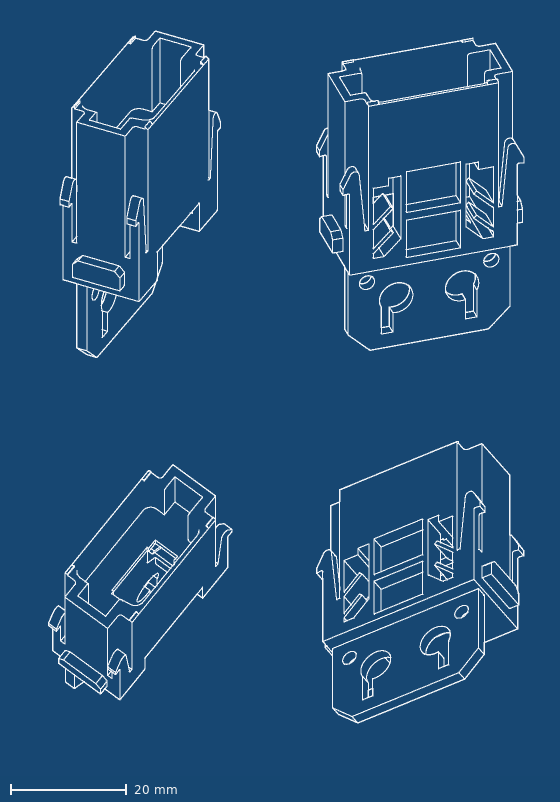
import cadquery as cq
import math

TOTAL_HEIGHT = 52.5
BODY_BOTTOM = 17.9
BODY_TOP = 52.05
BODY_X = 14.65
BODY_Y = 30.45
HALF_X = BODY_X / 2
HALF_Y = BODY_Y / 2

PLATE_X_MIN = -4.95
PLATE_X_MAX = -3.0
PLATE_Y = 29.4
PLATE_CHAMFER = 3.95
PIN_HOLE_DIAMETER = 2.75
PIN_HOLE_Y = 11.3
PIN_HOLE_Z = 14.05
KEYHOLE_DIAMETER = 6.05
KEYHOLE_Y = 6.0
KEYHOLE_Z = 9.85
KEYHOLE_SLOT_Y_MIN = 6.6
KEYHOLE_SLOT_Y_MAX = 8.65
KEYHOLE_SLOT_BOTTOM = 2.95

CAVITY_FLOOR = 38.3
CAVITY_X_MIN = -6.4
CAVITY_X_MAX = 6.45
CAVITY_HALF_Y_LEFT = 10.7
CAVITY_HALF_Y_RIGHT = 9.55
CAVITY_SLOPE_ANGLE = 9.0
CAVITY_CORNER_RADIUS = 1.7
RIM_RADIUS = 0.5
KEYWAY_X = 6.05
KEYWAY_Y = 27.35

WINDOW_X_MIN = -1.8
WINDOW_X_MAX = 4.25
WINDOW_SIDE_Y_MIN = -5.6
WINDOW_SIDE_Y_MAX = 4.25
WINDOW_END_X_MIN = -1.45
WINDOW_END_X_MAX = 3.35
WINDOW_HALF_Y = 6.15

CHAMBER_TOP = 36.45
CHAMBER_X_MAX = 6.0
CHAMBER_HALF_Y = 8.15
BACK_OPENING_TOP = 23.9

CENTRE_POCKET_Y = 9.8
UPPER_POCKET_Z = (28.7, 37.1)
LOWER_POCKET_Z = (19.4, 27.15)
SIDE_POCKET_Y_IN = 5.95
SIDE_POCKET_Y_OUT = 10.9
SIDE_POCKET_BOTTOM = 20.5
SIDE_POCKET_SHOULDER = 34.9
SIDE_POCKET_RAMP = 3.05
RIB_THICKNESS = 0.75
RIB_REACH_Y = 3.35
RIB_ROOT_HEIGHTS = (21.95, 26.95)

NOTCH_X = 4.65
NOTCH_Y = 11.8
NOTCH_BOTTOM = 26.45
NOTCH_FILLET = 0.65
ARM_X = 5.55
ARM_ROOT_Y = 12.45
ARM_TIP_RADIUS = 0.85
ARM_TIP_Y = 14.35
ARM_TIP_Z = 38.15
HOOK_Y = 16.45
HOOK_TOP = 35.75
HOOK_TIP_BOTTOM = 34.55
HOOK_ROOT_BOTTOM = 34.75
HOOK_FILLET = 0.3

PEG_SPAN_Y = 34.2
PEG_BOTTOM = 20.5
PEG_TOP = 24.25
PEG_CHAMFER = 1.05
FRONT_PEG_X = 9.15
REAR_PEG_X = 7.1

NIB_X = 0.6
NIB_Y_MIN = 9.85


def box(x_min, x_max, y_min, y_max, z_min, z_max):
    """Axis-aligned block between the given limits."""
    size = (x_max - x_min, y_max - y_min, z_max - z_min)
    return cq.Workplane("XY").box(*size, centered=False).translate((x_min, y_min, z_min))


def prism_along_x(outline, x_min, x_max):
    """Extrude a closed polygon of (Y, Z) points between two X positions."""
    return cq.Workplane("YZ", origin=(x_min, 0, 0)).polyline(outline).close().extrude(x_max - x_min)


def both_y(shape):
    """The shape together with its mirror image across Y = 0."""
    return shape.union(shape.mirror("XZ"))


def four_corners(shape):
    """The shape repeated at all four corners of the body."""
    pair = both_y(shape)
    return pair.union(pair.mirror("YZ"))


def mounting_plate():
    thickness = PLATE_X_MAX - PLATE_X_MIN
    plate = box(PLATE_X_MIN, PLATE_X_MAX, -PLATE_Y / 2, PLATE_Y / 2, 0, BODY_BOTTOM)
    plate = plate.edges("|X and <Z").chamfer(PLATE_CHAMFER)
    face = cq.Workplane("YZ", origin=(PLATE_X_MIN, 0, 0))
    pin_hole = face.center(PIN_HOLE_Y, PIN_HOLE_Z).circle(PIN_HOLE_DIAMETER / 2).extrude(thickness)
    keyhole = face.center(KEYHOLE_Y, KEYHOLE_Z).circle(KEYHOLE_DIAMETER / 2).extrude(thickness)
    slot = box(PLATE_X_MIN, PLATE_X_MAX, KEYHOLE_SLOT_Y_MIN, KEYHOLE_SLOT_Y_MAX,
               KEYHOLE_SLOT_BOTTOM, KEYHOLE_Z)
    return plate.cut(both_y(pin_hole)).cut(both_y(keyhole.union(slot)))


def housing_shell():
    """Outer block with a round-cornered, rounded-rim cavity crossed by a straight keyway."""
    keyway_edge = KEYWAY_X / 2
    slope_run = CAVITY_X_MAX - keyway_edge
    right_corner_y = CAVITY_HALF_Y_RIGHT - slope_run * math.tan(math.radians(CAVITY_SLOPE_ANGLE))
    outline = [
        (-keyway_edge, CAVITY_HALF_Y_LEFT),
        (CAVITY_X_MIN, CAVITY_HALF_Y_LEFT),
        (CAVITY_X_MIN, -CAVITY_HALF_Y_LEFT),
        (-keyway_edge, -CAVITY_HALF_Y_LEFT),
        (keyway_edge, -CAVITY_HALF_Y_RIGHT),
        (CAVITY_X_MAX, -right_corner_y),
        (CAVITY_X_MAX, right_corner_y),
        (keyway_edge, CAVITY_HALF_Y_RIGHT),
    ]
    depth = BODY_TOP - CAVITY_FLOOR
    floor = cq.Workplane("XY", origin=(0, 0, CAVITY_FLOOR))
    cavity = floor.polyline(outline).close().extrude(depth)
    cavity = cavity.edges("|Z and (<X or >X)").fillet(CAVITY_CORNER_RADIUS)
    keyway = floor.rect(KEYWAY_X, KEYWAY_Y).extrude(depth)

    shell = box(-HALF_X, HALF_X, -HALF_Y, HALF_Y, BODY_BOTTOM, BODY_TOP).cut(cavity)
    inside_outer_edges = cq.selectors.BoxSelector(
        (CAVITY_X_MIN - RIM_RADIUS, -KEYWAY_Y / 2, CAVITY_FLOOR),
        (CAVITY_X_MAX + RIM_RADIUS, KEYWAY_Y / 2, TOTAL_HEIGHT),
    )
    rim = shell.faces(">Z").edges(inside_outer_edges)
    return rim.fillet(RIM_RADIUS).cut(keyway)


def floor_window():
    """Keyed opening from the cavity down into the lower chamber."""
    outline = [
        (WINDOW_X_MIN, WINDOW_SIDE_Y_MIN),
        (WINDOW_END_X_MIN, WINDOW_SIDE_Y_MIN),
        (WINDOW_END_X_MIN, -WINDOW_HALF_Y),
        (WINDOW_END_X_MAX, -WINDOW_HALF_Y),
        (WINDOW_END_X_MAX, WINDOW_SIDE_Y_MIN),
        (WINDOW_X_MAX, WINDOW_SIDE_Y_MIN),
        (WINDOW_X_MAX, WINDOW_SIDE_Y_MAX),
        (WINDOW_END_X_MAX, WINDOW_SIDE_Y_MAX + WINDOW_X_MAX - WINDOW_END_X_MAX),
        (WINDOW_END_X_MAX, WINDOW_HALF_Y),
        (WINDOW_END_X_MIN, WINDOW_HALF_Y),
        (WINDOW_END_X_MIN, WINDOW_SIDE_Y_MAX),
        (WINDOW_X_MIN, WINDOW_SIDE_Y_MAX),
    ]
    height = CAVITY_FLOOR - BODY_BOTTOM
    return cq.Workplane("XY", origin=(0, 0, BODY_BOTTOM)).polyline(outline).close().extrude(height)


def lower_chamber():
    chamber = box(PLATE_X_MAX, CHAMBER_X_MAX, -CHAMBER_HALF_Y, CHAMBER_HALF_Y, BODY_BOTTOM, CHAMBER_TOP)
    back_opening = box(PLATE_X_MAX, HALF_X, -CHAMBER_HALF_Y, CHAMBER_HALF_Y, BODY_BOTTOM, BACK_OPENING_TOP)
    return chamber.union(back_opening)


def centre_pocket(z_limits):
    return box(-HALF_X, PLATE_X_MIN, -CENTRE_POCKET_Y / 2, CENTRE_POCKET_Y / 2, *z_limits)


def slanted_rib(root_height):
    """45 degree rib climbing from the outer wall of a side pocket towards the middle."""
    edge = RIB_THICKNESS / math.sqrt(2)
    tip_y = SIDE_POCKET_Y_OUT - RIB_REACH_Y
    outline = [
        (SIDE_POCKET_Y_OUT, root_height - edge),
        (tip_y - edge / 2, root_height + RIB_REACH_Y - edge / 2),
        (tip_y + edge / 2, root_height + RIB_REACH_Y + edge / 2),
        (SIDE_POCKET_Y_OUT, root_height + edge),
    ]
    return prism_along_x(outline, -HALF_X, PLATE_X_MAX)


def side_pocket():
    """Stepped pocket beside the centre pockets, less its two slanted ribs."""
    outline = [
        (SIDE_POCKET_Y_IN, CHAMBER_TOP),
        (CHAMBER_HALF_Y, CHAMBER_TOP),
        (CHAMBER_HALF_Y, SIDE_POCKET_SHOULDER),
        (SIDE_POCKET_Y_OUT, SIDE_POCKET_SHOULDER),
        (SIDE_POCKET_Y_OUT, SIDE_POCKET_BOTTOM),
        (SIDE_POCKET_Y_IN + SIDE_POCKET_RAMP, SIDE_POCKET_BOTTOM),
        (SIDE_POCKET_Y_IN, SIDE_POCKET_BOTTOM + SIDE_POCKET_RAMP),
    ]
    pocket = prism_along_x(outline, -HALF_X, CHAMBER_X_MAX)
    for root_height in RIB_ROOT_HEIGHTS:
        pocket = pocket.cut(slanted_rib(root_height))
    return pocket


def corner_notch():
    notch = box(NOTCH_X, HALF_X, NOTCH_Y, HALF_Y, NOTCH_BOTTOM, BODY_TOP)
    return notch.edges("|Z and <X and <Y").fillet(NOTCH_FILLET)


def latch_arm():
    """Tapered arm with a rounded tip and an outward hook."""
    hook_angle = math.atan2(ARM_TIP_Z - HOOK_TOP, HOOK_Y - ARM_TIP_Y)
    tip_distance = math.hypot(ARM_TIP_Z - HOOK_TOP, HOOK_Y - ARM_TIP_Y)
    outer_angle = math.acos(ARM_TIP_RADIUS / tip_distance) - hook_angle
    outer_tangent = (ARM_TIP_Y + ARM_TIP_RADIUS * math.cos(outer_angle),
                     ARM_TIP_Z + ARM_TIP_RADIUS * math.sin(outer_angle))
    arm = (
        cq.Workplane("YZ", origin=(ARM_X, 0, 0))
        .moveTo(ARM_ROOT_Y, NOTCH_BOTTOM)
        .lineTo(ARM_TIP_Y - ARM_TIP_RADIUS, ARM_TIP_Z)
        .threePointArc((ARM_TIP_Y, ARM_TIP_Z + ARM_TIP_RADIUS), outer_tangent)
        .lineTo(HOOK_Y, HOOK_TOP)
        .lineTo(HOOK_Y, HOOK_TIP_BOTTOM)
        .lineTo(HALF_Y, HOOK_ROOT_BOTTOM)
        .lineTo(HALF_Y, NOTCH_BOTTOM)
        .close()
        .extrude(HALF_X - ARM_X)
    )
    hook_corner = cq.selectors.NearestToPointSelector(((ARM_X + HALF_X) / 2, HALF_Y, HOOK_ROOT_BOTTOM))
    return arm.edges("|X").edges(hook_corner).fillet(HOOK_FILLET)


def top_nib():
    """Wedge that rises inwards from the outer edge of the body."""
    outline = [(HALF_X - NIB_X, BODY_TOP), (HALF_X, BODY_TOP), (HALF_X - NIB_X, TOTAL_HEIGHT)]
    wedge = cq.Workplane("XZ", origin=(0, NOTCH_Y, 0)).polyline(outline).close()
    return wedge.extrude(NOTCH_Y - NIB_Y_MIN)


def side_peg(width, side):
    """Peg on the -Y (side = -1) or +Y (side = 1) end of the body."""
    y_limits = sorted((side * HALF_Y, side * PEG_SPAN_Y / 2))
    peg = box(-width / 2, width / 2, *y_limits, PEG_BOTTOM, PEG_TOP)
    return peg.edges("|Y and >Z").chamfer(PEG_CHAMFER)


body = housing_shell().cut(floor_window()).cut(lower_chamber())
body = body.cut(centre_pocket(UPPER_POCKET_Z)).cut(centre_pocket(LOWER_POCKET_Z))
body = body.cut(both_y(side_pocket()))
body = body.cut(four_corners(corner_notch()))
body = body.union(four_corners(latch_arm())).union(four_corners(top_nib()))
body = body.union(side_peg(FRONT_PEG_X, -1)).union(side_peg(REAR_PEG_X, 1))

result = body.union(mounting_plate())